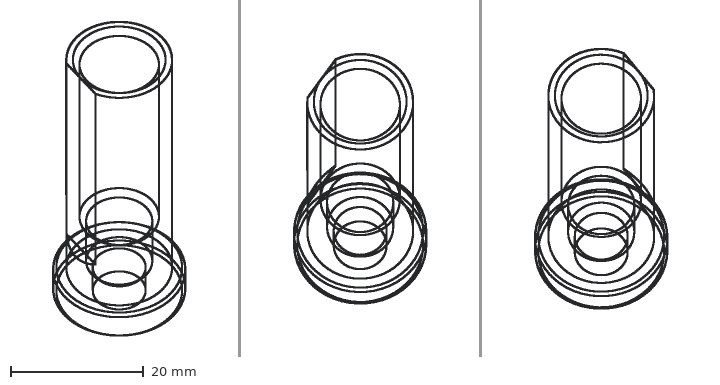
import cadquery as cq

total_height = 50.0
flange_diameter = 20.0
flange_height = 5.0
flange_chamfer = 0.5
body_diameter = 16.0

mouth_diameter = 14.0
upper_bore_diameter = 12.0
middle_bore_diameter = 10.0
through_diameter = 8.0
mouth_depth = (mouth_diameter - upper_bore_diameter) / 2
middle_bore_top = 15.0
through_bore_top = 5.0
upper_step_height = (upper_bore_diameter - middle_bore_diameter) / 2
lower_step_height = 1.4

flat_distance = 7.0
flat_bottom = 13.0
flat_depth = body_diameter / 2 - flat_distance


def make_body():
    flange = (
        cq.Workplane("XY")
        .circle(flange_diameter / 2)
        .extrude(flange_height)
        .edges()
        .chamfer(flange_chamfer)
    )
    barrel = cq.Workplane("XY").circle(body_diameter / 2).extrude(total_height)
    return flange.union(barrel)


def make_bore():
    """Revolved half profile of the stepped bore with its flared mouth."""
    profile = [
        (0, 0),
        (through_diameter / 2, 0),
        (through_diameter / 2, through_bore_top),
        (middle_bore_diameter / 2, through_bore_top + lower_step_height),
        (middle_bore_diameter / 2, middle_bore_top),
        (upper_bore_diameter / 2, middle_bore_top + upper_step_height),
        (upper_bore_diameter / 2, total_height - mouth_depth),
        (mouth_diameter / 2, total_height),
        (0, total_height),
    ]
    return cq.Workplane("XZ").polyline(profile).close().revolve(360, (0, 0, 0), (0, 1, 0))


def make_flat_cutter():
    """Side profile of the flat, extruded across the full body width."""
    body_front = -body_diameter / 2
    profile = [
        (-flat_distance, total_height),
        (-flat_distance, flat_bottom),
        (body_front, flat_bottom - flat_depth),
        (body_front, total_height),
    ]
    return cq.Workplane("YZ").polyline(profile).close().extrude(body_diameter / 2, both=True)


result = make_body().cut(make_bore()).cut(make_flat_cutter())